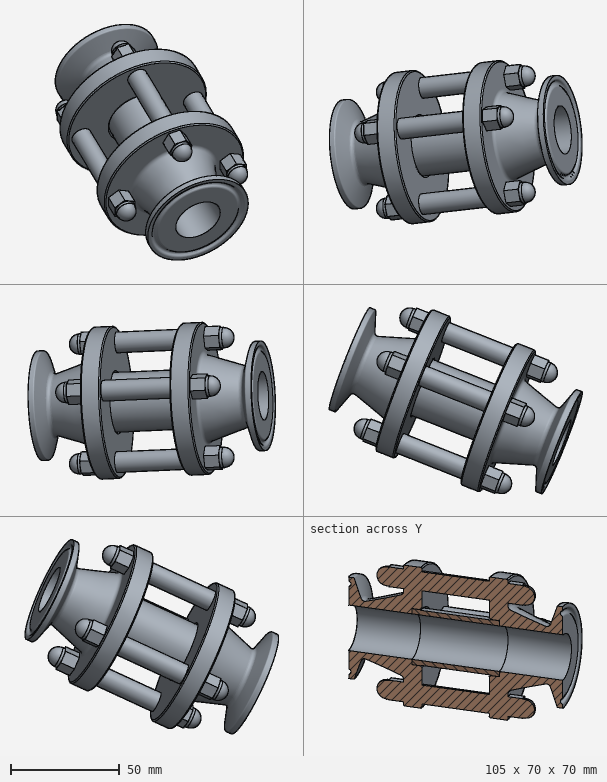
import cadquery as cq
import math

LENGTH = 105.0
BORE_RADIUS = 11.15
HALF_LENGTH = LENGTH / 2

FERRULE_RADIUS = 25.25
RIM_THICKNESS = 2.8
RIM_FILLET = 0.7
CLAMP_SLOPE = 19.5
GROOVE_CENTRE_RADIUS = 21.75
GROOVE_RADIUS = 1.2
GROOVE_EDGE_FILLET = 1.0

NECK_RADIUS = 14.35
NECK_END = 8.25
NECK_FILLET = 1.7
CONE_SLOPE = 18.0
CONE_FILLET = 2.0

FLANGE_RADIUS = 35.0
FLANGE_INNER_X = 16.4
FLANGE_THICKNESS = 9.3
FLANGE_CHAMFER = 0.6
FLANGE_OUTER_X = FLANGE_INNER_X + FLANGE_THICKNESS

ROD_COUNT = 4
ROD_CIRCLE_RADIUS = 28.0
ROD_RADIUS = 4.8
NUT_ACROSS_FLATS = 10.0
NUT_HEIGHT = 7.0
COLLAR_HEIGHT = 1.3
DOME_RADIUS = 4.7

TUBE_RADIUS = 13.75
SEAT_DEPTH = 5.0
SEAT_CHAMFER = 0.8
TUBE_END_X = FLANGE_INNER_X + SEAT_DEPTH


def cylinder_along_x(radius, x_start, x_end):
    return cq.Workplane("YZ", origin=(x_start, 0, 0)).circle(radius).extrude(x_end - x_start)


def revolve_about_x(profile):
    return profile.revolve(360, (0, 0, 0), (1, 0, 0))


def circle_at(x, radius):
    """Select the circular edges of a given radius, centred on the X axis at x."""
    tolerance = 1e-4
    low = (x - tolerance, -radius - tolerance, -radius - tolerance)
    high = (x + tolerance, radius + tolerance, radius + tolerance)
    inner = radius - tolerance
    return cq.selectors.BoxSelector(low, high, boundingbox=True) - cq.selectors.BoxSelector(
        (low[0], -inner, -inner), (high[0], inner, inner), boundingbox=True
    )


def make_flange():
    flange = cylinder_along_x(FLANGE_RADIUS, FLANGE_INNER_X, FLANGE_OUTER_X)
    return flange.edges().chamfer(FLANGE_CHAMFER)


def make_end_fitting():
    """Flange, cone, neck and ferrule on the +X end, solid inside."""
    rim_back_x = HALF_LENGTH - RIM_THICKNESS
    neck_start_x = rim_back_x - (FERRULE_RADIUS - NECK_RADIUS) * math.tan(math.radians(CLAMP_SLOPE))
    neck_end_x = HALF_LENGTH - NECK_END
    cone_length = neck_end_x - FLANGE_OUTER_X
    cone_base_radius = NECK_RADIUS + cone_length * math.tan(math.radians(CONE_SLOPE))

    outline = (
        cq.Workplane("XY")
        .moveTo(FLANGE_OUTER_X, 0)
        .lineTo(FLANGE_OUTER_X, cone_base_radius)
        .lineTo(neck_end_x, NECK_RADIUS)
        .lineTo(neck_start_x, NECK_RADIUS)
        .lineTo(rim_back_x, FERRULE_RADIUS)
        .lineTo(HALF_LENGTH, FERRULE_RADIUS)
        .lineTo(HALF_LENGTH, 0)
        .close()
    )
    fitting = make_flange().union(revolve_about_x(outline))

    fitting = fitting.edges(circle_at(FLANGE_OUTER_X, cone_base_radius)).fillet(CONE_FILLET)
    fitting = fitting.edges(circle_at(neck_start_x, NECK_RADIUS)).fillet(NECK_FILLET)
    fitting = fitting.edges(circle_at(neck_end_x, NECK_RADIUS)).fillet(NECK_FILLET)
    fitting = fitting.edges(circle_at(rim_back_x, FERRULE_RADIUS)).fillet(RIM_FILLET)
    return cut_gasket_groove(fitting)


def cut_gasket_groove(fitting):
    """Half-round ring groove in the end face, with rounded lips."""
    section = cq.Workplane("XY").center(HALF_LENGTH, GROOVE_CENTRE_RADIUS).circle(GROOVE_RADIUS)
    ring = section.revolve(360, (0, -GROOVE_CENTRE_RADIUS, 0), (1, -GROOVE_CENTRE_RADIUS, 0))
    fitting = fitting.cut(ring)
    for lip_radius in (GROOVE_CENTRE_RADIUS - GROOVE_RADIUS, GROOVE_CENTRE_RADIUS + GROOVE_RADIUS):
        fitting = fitting.edges(circle_at(HALF_LENGTH, lip_radius)).fillet(GROOVE_EDGE_FILLET)
    return fitting


def make_domed_nut():
    """Hexagonal nut on the X axis, seated on the +X flange, flats facing +Z and -Z."""
    hex_end_x = FLANGE_OUTER_X + NUT_HEIGHT
    collar_end_x = hex_end_x + COLLAR_HEIGHT
    across_corners = NUT_ACROSS_FLATS / math.cos(math.pi / 6)

    hexagon = (
        cq.Workplane("YZ", origin=(FLANGE_OUTER_X, 0, 0))
        .polygon(6, across_corners)
        .extrude(NUT_HEIGHT)
    )
    collar = cylinder_along_x(ROD_RADIUS, hex_end_x, collar_end_x)
    dome_outline = (
        cq.Workplane("XY")
        .moveTo(collar_end_x, 0)
        .lineTo(collar_end_x, DOME_RADIUS)
        .radiusArc((collar_end_x + DOME_RADIUS, 0), DOME_RADIUS)
        .close()
    )
    return hexagon.union(collar).union(revolve_about_x(dome_outline))


def make_tie_rod():
    """Rod between the flanges with a domed nut at both ends, placed above the axis."""
    nut = make_domed_nut()
    rod = cylinder_along_x(ROD_RADIUS, -FLANGE_OUTER_X, FLANGE_OUTER_X)
    rod = rod.union(nut).union(nut.mirror("YZ"))
    return rod.translate((0, 0, ROD_CIRCLE_RADIUS))


def make_frame():
    """Both end fittings bored through, recessed for the tube and joined by the tie rods."""
    fitting = make_end_fitting().cut(cylinder_along_x(BORE_RADIUS, 0, HALF_LENGTH))
    fitting = fitting.cut(cylinder_along_x(TUBE_RADIUS, FLANGE_INNER_X, TUBE_END_X))
    fitting = fitting.edges(circle_at(FLANGE_INNER_X, TUBE_RADIUS)).chamfer(SEAT_CHAMFER)
    frame = fitting.union(fitting.mirror("YZ"))
    tie_rod = make_tie_rod()
    for index in range(ROD_COUNT):
        frame = frame.union(tie_rod.rotate((0, 0, 0), (1, 0, 0), index * 360 / ROD_COUNT))
    return frame


def make_glass_tube():
    """Tube standing on the floors of the two flange recesses."""
    tube = cylinder_along_x(TUBE_RADIUS, -TUBE_END_X, TUBE_END_X)
    return tube.cut(cylinder_along_x(BORE_RADIUS, -TUBE_END_X, TUBE_END_X))


frame = make_frame()
glass_tube = make_glass_tube()

result = cq.Compound.makeCompound([frame.val(), glass_tube.val()])